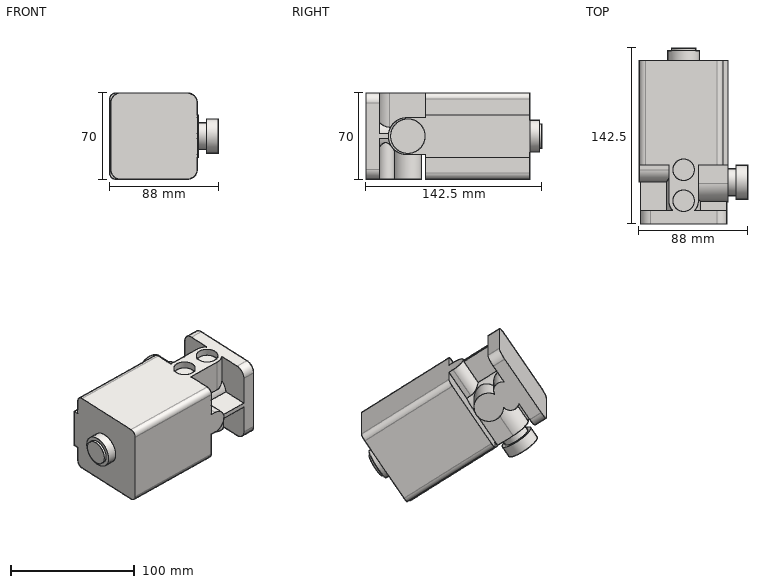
import cadquery as cq

height = 70.0
half_height = height / 2
length = 142.5

flange_thickness = 11.0
flange_corner_radius = 8.0

housing_front = 48.0
housing_back = 132.7
housing_half_width = 36.0
housing_right_wall = 31.9
housing_corner_radius = 5.0
pad_half_height = 17.1

connector_radius = 13.0
connector_tip_radius = 10.0
connector_tip_length = 2.0

core_radius = 14.0
plate_thickness = 4.0
web_half_width = 12.0
web_end_y = 19.0
pocket_radius = 8.7
pocket_spacing = 25.1
pocket_depth = 6.0

left_bar_radius = 10.0
left_bar_y = web_end_y + pocket_spacing
right_bar_radius = 15.0
right_bar_y = 33.0

round_post_y = right_bar_y
round_post_radius = 12.0
slot_post_y = 16.0
slot_post_half_length = 13.0
slot_post_radius = 7.1

knob_y = 33.9
knob_shaft_radius = 11.0
knob_radius = 14.0
knob_head_start = 42.3
knob_end = 52.0


def block(x_range, y_range, z_range):
    """Axis-aligned box given by its limits along each axis."""
    limits = (x_range, y_range, z_range)
    sizes = [high - low for low, high in limits]
    corner = tuple(low for low, high in limits)
    return cq.Workplane("XY").box(*sizes, centered=False).translate(corner)


def cylinder_along_y(radius, start, end):
    """Cylinder on the main axis."""
    return cq.Workplane("XZ", origin=(0, start, 0)).circle(radius).extrude(start - end)


def cylinder_along_x(radius, y, start, end):
    """Cylinder across the part at mid-height."""
    return cq.Workplane("YZ", origin=(start, y, 0)).circle(radius).extrude(end - start)


def make_flange():
    flange = block((-half_height, half_height), (0, flange_thickness), (-half_height, half_height))
    return flange.edges("|Y").fillet(flange_corner_radius)


def make_housing():
    y_range = (housing_front, housing_back)
    body = block((-housing_half_width, housing_right_wall), y_range, (-half_height, half_height))
    body = body.edges("|Y").fillet(housing_corner_radius)
    pad = block((0, housing_half_width), y_range, (-pad_half_height, pad_half_height))
    return body.union(pad)


def make_connector():
    tip_start = length - connector_tip_length
    base = cylinder_along_y(connector_radius, housing_back, tip_start)
    tip = cylinder_along_y(connector_tip_radius, tip_start, length)
    return base.union(tip)


def make_core():
    """Round core with a thin horizontal plate through it."""
    core = cylinder_along_y(core_radius, flange_thickness, housing_front)
    plate = block(
        (-half_height, half_height),
        (flange_thickness, housing_front),
        (-plate_thickness / 2, plate_thickness / 2),
    )
    return core.union(plate)


def make_web():
    """Upright web above the core, rounded at the flange end."""
    web = block((-web_half_width, web_half_width), (web_end_y, housing_front), (0, half_height))
    nose = cq.Workplane("XY").center(0, web_end_y).circle(web_half_width).extrude(half_height)
    return web.union(nose)


def make_side_bar(radius, nose_y, x_range):
    """Bar reaching forward from the housing, ending in a half-round nose."""
    bar = block(x_range, (nose_y, housing_front), (-radius, radius))
    return bar.union(cylinder_along_x(radius, nose_y, *x_range))


def make_lower_posts():
    round_post = cq.Workplane("XY").center(0, round_post_y).circle(round_post_radius).extrude(-half_height)
    slot_post = (
        cq.Workplane("XY")
        .center(0, slot_post_y)
        .slot2D(2 * slot_post_half_length, 2 * slot_post_radius)
        .extrude(-half_height)
    )
    return round_post.union(slot_post)


def make_knob():
    shaft = cylinder_along_x(knob_shaft_radius, knob_y, 0, knob_head_start)
    head = cylinder_along_x(knob_radius, knob_y, knob_head_start, knob_end)
    return shaft.union(head)


def make_pockets():
    """Two blind round pockets in the top of the web."""
    centres = [(0, web_end_y), (0, web_end_y + pocket_spacing)]
    top = cq.Workplane("XY", origin=(0, 0, half_height))
    return top.pushPoints(centres).circle(pocket_radius).extrude(-pocket_depth)


result = (
    make_flange()
    .union(make_housing())
    .union(make_connector())
    .union(make_core())
    .union(make_web())
    .union(make_side_bar(left_bar_radius, left_bar_y, (-housing_half_width, 0)))
    .union(make_side_bar(right_bar_radius, right_bar_y, (0, housing_half_width)))
    .union(make_lower_posts())
    .union(make_knob())
    .cut(make_pockets())
)